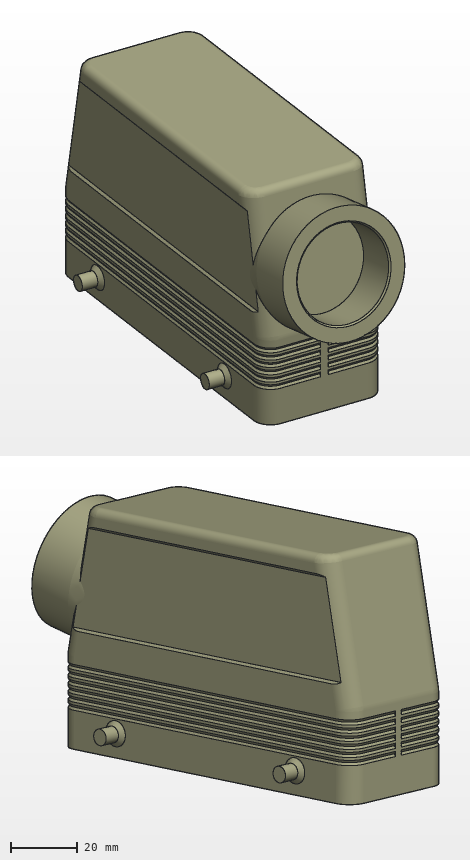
import cadquery as cq
import math

body_length = 119.8
body_width = 43.0
body_height = 76.0
break_height = 29.5
taper_angle = 11.3
break_radius = 6.8
corner_radius = 6.0
top_radius = 2.7

panel_depth = 0.8
panel_bottom = 37.7
panel_top = 69.4

groove_count = 6
lowest_groove_height = 13.0
highest_groove_height = 25.5
groove_pitch = (highest_groove_height - lowest_groove_height) / (groove_count - 1)
groove_width = 1.6
groove_depth = 0.5
groove_gap = 2.7

pin_span = 57.0
pin_spacing = 74.0
pin_height = 7.6
pin_radius = 2.6
collar_radius = 4.0
collar_length = collar_radius - pin_radius

overall_length = 135.2
spout_radius = 21.5
spout_height = 52.0
bore_radius = 16.1
bore_chamfer = 0.5
root_angle = 8.3
root_length = 8.1

half_length = body_length / 2
half_width = body_width / 2
taper_tan = math.tan(math.radians(taper_angle))
taper_sin = math.sin(math.radians(taper_angle))
taper_cos = math.cos(math.radians(taper_angle))


def make_body():
    """Tapered block with rounded corners, breaks and top rim."""
    half_top = half_length - (body_height - break_height) * taper_tan
    outline = [
        (-half_length, 0),
        (half_length, 0),
        (half_length, break_height),
        (half_top, body_height),
        (-half_top, body_height),
        (-half_length, break_height),
    ]
    body = cq.Workplane("XZ").polyline(outline).close().extrude(half_width, both=True)
    for end_x in (-half_length, half_length):
        break_edge = body.edges(cq.NearestToPointSelector((end_x, 0, break_height)))
        body = break_edge.fillet(break_radius)
    upright_edges = body.faces("<X or >X").edges("|Z")
    body = upright_edges.fillet(corner_radius)
    return body.faces(">Z").edges().fillet(top_radius)


def make_panel_cutter():
    """Bar that sinks the panel into the -Y side."""
    section = [
        (-half_width + panel_depth, panel_bottom),
        (-half_width + panel_depth, panel_top),
        (-half_width, panel_top + panel_depth),
        (-half_width - panel_depth, panel_top + panel_depth),
        (-half_width - panel_depth, panel_bottom - panel_depth),
        (-half_width, panel_bottom - panel_depth),
    ]
    return cq.Workplane("YZ").polyline(section).close().extrude(half_length, both=True)


def make_groove_cutter(height):
    """V-shaped ring around the base, left uncut at the middle of both ends."""
    half_groove = groove_width / 2
    flank_angle = math.degrees(math.atan2(groove_depth, half_groove))
    root_outline = (
        cq.Sketch()
        .rect(body_length - 2 * groove_depth, body_width - 2 * groove_depth)
        .vertices()
        .fillet(corner_radius - groove_depth)
    )
    upper_core = cq.Workplane("XY").placeSketch(root_outline).extrude(half_groove, taper=-flank_angle)
    core = upper_core.union(upper_core.mirror("XY"))
    bridge = cq.Workplane("XY").box(overall_length, groove_gap, groove_width)
    slab = cq.Workplane("XY").box(body_length, body_width, groove_width)
    return slab.cut(core).cut(bridge).translate((0, 0, height))


def make_pin():
    """Pin and collar standing out from the -Y side, on the Y axis."""
    half_span = pin_span / 2
    profile = [
        (0, 0),
        (collar_radius, 0),
        (collar_radius, -half_width),
        (pin_radius, -half_width - collar_length),
        (pin_radius, -half_span),
        (0, -half_span),
    ]
    return cq.Workplane("XY").polyline(profile).close().revolve(360, (0, 0, 0), (0, 1, 0))


mouth_center_x = overall_length - half_length - spout_radius * taper_sin
wall_x = half_length - (spout_height - break_height) * taper_tan
spout_length = (mouth_center_x - wall_x) * taper_cos


def revolve_on_spout_axis(profile):
    """Revolve (radius, distance outwards from the end wall) points about the spout axis."""
    root_x = mouth_center_x - spout_length * taper_cos
    root_z = spout_height - spout_length * taper_sin
    plane = cq.Plane(origin=(root_x, 0, root_z), xDir=(0, 1, 0), normal=(taper_sin, 0, -taper_cos))
    return cq.Workplane(plane).polyline(profile).close().revolve(360, (0, 0, 0), (0, 1, 0))


def make_spout():
    """Round spout whose conical root narrows into the body."""
    root_end_radius = spout_radius - root_length * math.tan(math.radians(root_angle))
    return revolve_on_spout_axis([
        (0, -root_length),
        (root_end_radius, -root_length),
        (spout_radius, 0),
        (spout_radius, spout_length),
        (0, spout_length),
    ])


def make_bore():
    """Blind bore, as deep as the spout is long, with a chamfered mouth."""
    return revolve_on_spout_axis([
        (0, 0),
        (bore_radius, 0),
        (bore_radius, spout_length - bore_chamfer),
        (bore_radius + bore_chamfer, spout_length),
        (0, spout_length),
    ])


result = make_body()

panel_cutter = make_panel_cutter()
result = result.cut(panel_cutter).cut(panel_cutter.mirror("XZ"))

for index in range(groove_count):
    result = result.cut(make_groove_cutter(lowest_groove_height + index * groove_pitch))

pin = make_pin()
for pin_x in (-pin_spacing / 2, pin_spacing / 2):
    placed_pin = pin.translate((pin_x, 0, pin_height))
    result = result.union(placed_pin).union(placed_pin.mirror("XZ"))

result = result.union(make_spout()).cut(make_bore())